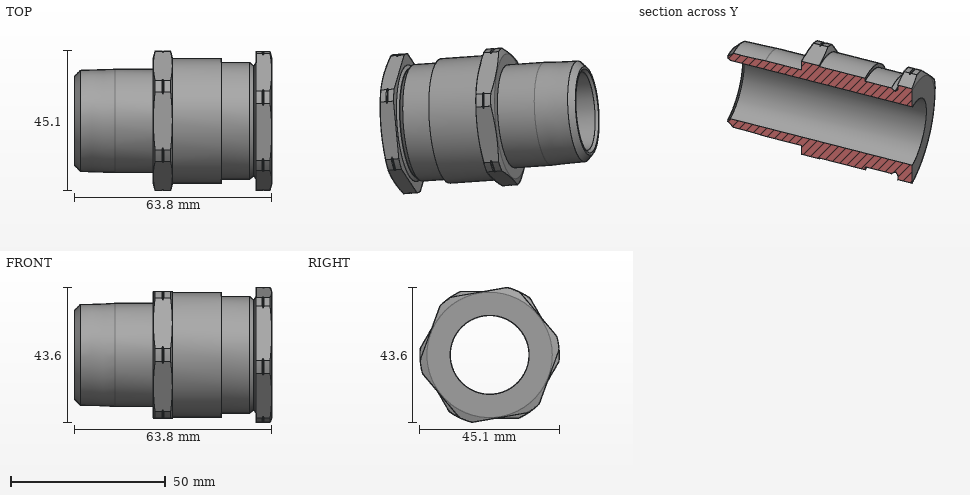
import cadquery as cq
import math

tip_chamfer_end = 2.0
taper_end = 13.1
hex_start = 25.45
hex_end = 31.7
body_end = 47.5
neck_end = 56.6
relief_start = 57.85
relief_end = 58.0
nut_start = 58.7
nut_end = 63.8

thread_radius = 16.7
taper_ratio = 1 / 32
body_radius = 20.2
neck_radius = 18.9
relief_radius = 17.8

bore_radius = 12.7
mouth_chamfer = 0.9

across_flats = 41.0
corner_radius = 22.54
hex_face_radius = 20.25
chamfer_angle = 15.0
body_hexagon_turn = 30.0
nut_twist = 10.0
corner_groove_half_width = 0.32
corner_groove_depth = 0.27
groove_overshoot = 0.2

taper_start_radius = thread_radius - (taper_end - tip_chamfer_end) * taper_ratio
tip_radius = taper_start_radius - tip_chamfer_end
chamfer_length = (corner_radius - hex_face_radius) * math.tan(math.radians(chamfer_angle))


def revolve_profile(points):
    """Revolve a closed (x, radius) outline about the X axis."""
    return cq.Workplane("XY").polyline(points).close().revolve(360, (0, 0, 0), (1, 0, 0))


def make_turned_body():
    return revolve_profile([
        (0, 0),
        (0, tip_radius),
        (tip_chamfer_end, taper_start_radius),
        (taper_end, thread_radius),
        (hex_start, thread_radius),
        (hex_start, body_radius),
        (body_end, body_radius),
        (body_end, neck_radius),
        (neck_end, neck_radius),
        (relief_start, relief_radius),
        (relief_end, relief_radius),
        (nut_start, neck_radius),
        (nut_end, neck_radius),
        (nut_end, 0),
    ])


def make_corner_groove(x_center):
    """Ring with a V section, sunk into the turned corners of a hexagon."""
    groove_slope = corner_groove_half_width / corner_groove_depth
    mouth_half_width = groove_slope * (corner_groove_depth + groove_overshoot)
    mouth_radius = corner_radius + groove_overshoot
    return revolve_profile([
        (x_center, corner_radius - corner_groove_depth),
        (x_center - mouth_half_width, mouth_radius),
        (x_center + mouth_half_width, mouth_radius),
    ])


def make_hexagon(x_start, x_end, turn, chamfer_start):
    """Hexagon along X with turned, grooved corners and a chamfered far face."""
    prism = (
        cq.Workplane("YZ", origin=(x_start, 0, 0))
        .polygon(6, across_flats, circumscribed=True)
        .extrude(x_end - x_start)
        .rotate((0, 0, 0), (1, 0, 0), turn)
    )
    corner_start = x_start
    corner_end = x_end - chamfer_length
    start_outline = [(x_start, corner_radius)]
    if chamfer_start:
        corner_start = x_start + chamfer_length
        start_outline = [(x_start, hex_face_radius), (corner_start, corner_radius)]
    envelope = revolve_profile(
        [(x_start, 0)]
        + start_outline
        + [(corner_end, corner_radius), (x_end, hex_face_radius), (x_end, 0)]
    )
    return prism.intersect(envelope).cut(make_corner_groove((corner_start + corner_end) / 2))


def make_bore():
    return revolve_profile([
        (0, 0),
        (0, bore_radius + mouth_chamfer),
        (mouth_chamfer, bore_radius),
        (nut_end, bore_radius),
        (nut_end, 0),
    ])


body_hexagon = make_hexagon(hex_start, hex_end, body_hexagon_turn, chamfer_start=True)
nut = make_hexagon(nut_start, nut_end, body_hexagon_turn + nut_twist, chamfer_start=False)
result = make_turned_body().union(body_hexagon).union(nut).cut(make_bore())